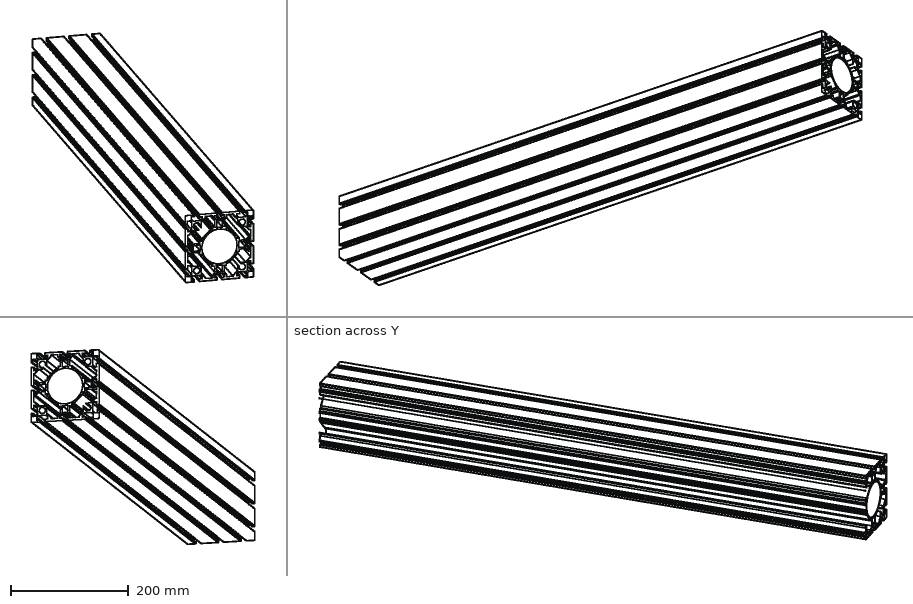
import cadquery as cq

length = 1000.0
width = 120.0
half = width / 2
corner_radius = 2.0

grid = 40.0
slot_places = (-grid, 0, grid)
mouth_half = 4.0
mouth_chamfer = 1.0
inner_lip = 4.5
corner_lip = 3.0
cavity_half = 9.5
floor_half = 6.5
shoulder_depth = 8.0
floor_depth = 11.0

groove_half = 1.5
groove_depth = 2.0

bore_radius = 31.0
bore_wall = 2.0

hollow_width = 10.0
hollow_height = 12.0
hollow_place = 40.0

channel_radius = 5.5
channel_core_half = 8.0
split_width = 6.0

skin = 4.5
arm_half = 8.0
foot_half = 12.0
foot_top = 35.0
foot_bottom = 31.0
wall_arc_start = 16.0
void_shoulder = 46.0
void_haunch = 52.0
void_near = 13.0
void_far = 24.0
haunch_far = 26.0


def prism(section):
    """Full-length prism from a closed outline in the YZ plane."""
    return section.extrude(length / 2, both=True)


def rod(y, z, radius):
    """Full-length round bar parallel to X."""
    return prism(cq.Workplane("YZ").center(y, z).circle(radius))


def cut_four_times(body, tool):
    """Cut the tool from the body at each quarter turn about X."""
    for turn in range(4):
        body = body.cut(tool.rotate((0, 0, 0), (1, 0, 0), 90 * turn))
    return body


def half_slot(lip):
    """Right half of a slot outline in the top side, from its mouth to its floor."""
    return [
        (mouth_half + mouth_chamfer, half),
        (mouth_half, half - mouth_chamfer),
        (mouth_half, half - lip),
        (cavity_half, half - lip),
        (cavity_half, half - shoulder_depth),
        (floor_half, half - floor_depth),
    ]


def slot(place):
    """T-slot in the top side; the lip next to a corner is the thinner one."""
    right_side = half_slot(corner_lip if place > 0 else inner_lip)
    left_side = half_slot(corner_lip if place < 0 else inner_lip)
    outline = right_side + [(-y, z) for y, z in reversed(left_side)]
    return prism(cq.Workplane("YZ").polyline([(place + y, z) for y, z in outline]).close())


def floor_groove():
    """V groove in the floor of the top middle slot."""
    floor = half - floor_depth
    outline = [(-groove_half, floor), (groove_half, floor), (0, floor - groove_depth)]
    return prism(cq.Workplane("YZ").polyline(outline).close())


def hollow():
    """Rectangular hollow below the top middle slot."""
    return prism(cq.Workplane("YZ").center(0, hollow_place).rect(hollow_width, hollow_height))


def corner_void():
    """Void around a corner channel, symmetric about the diagonal y = z, with the channel's split."""
    core_side = grid - channel_core_half
    split_offset = split_width / 2 ** 0.5
    upper_half = [
        (wall_arc_start, foot_bottom),
        (foot_half, foot_bottom),
        (foot_half, foot_top),
        (arm_half, foot_top),
        (arm_half, void_shoulder),
        (void_near, void_haunch),
        (void_near, half - skin),
        (void_far, half - skin),
        (haunch_far, void_haunch),
        (core_side, void_shoulder),
        (core_side, core_side + split_offset),
        (grid - split_offset / 2, grid + split_offset / 2),
    ]
    lower_half = [(z, y) for y, z in reversed(upper_half)]
    wall_middle = (bore_radius + bore_wall) / 2 ** 0.5
    section = cq.Workplane("YZ").polyline(upper_half + lower_half)
    return prism(section.threePointArc((wall_middle, wall_middle), upper_half[0]).close())


result = prism(cq.Workplane("YZ").rect(width, width)).edges("|X").fillet(corner_radius)
for place in slot_places:
    result = cut_four_times(result, slot(place))
result = cut_four_times(result, floor_groove())
result = cut_four_times(result, hollow())
result = cut_four_times(result, corner_void())
result = cut_four_times(result, rod(grid, grid, channel_radius))
result = result.cut(rod(0, 0, bore_radius))